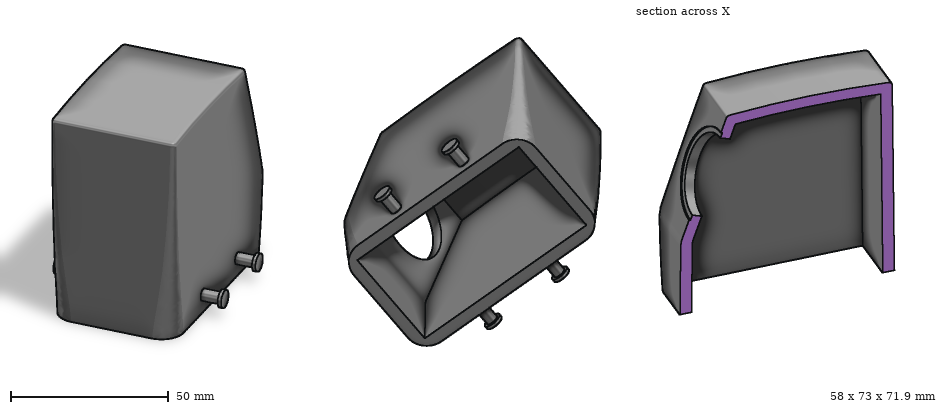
import cadquery as cq
import math

shapes = cq.occ_impl.shapes

body_width = 43.0
base_length = 73.0
height = 71.91
draft = math.radians(0.6)
slope_angle = math.radians(19.75)
bend_height = 27.0
bend_radius = 9.0
crown_radius = 350.0
crest_y = -7.0
wall = 4.1

base_corner_radius = 7.6
top_corner_radius = 1.55
end_wall_taper = 2.0
cable_side_taper = 2.6
top_radius = 1.5
convergence_steps = 20
law_steps = 4

entry_diameter = 28.2
seat_diameter = 32.0
seat_depth = 0.5
entry_y = 28.0

pin_span = 58.0
pin_spacing = 27.0
pin_height = 6.25
pin_diameter = 4.0
head_diameter = 6.0
head_thickness = 1.2

half_width = body_width / 2
half_base = base_length / 2


def crown_z(y):
    """Height of the crowned top at the given Y."""
    return height - crown_radius + math.sqrt(crown_radius**2 - (y - crest_y) ** 2)


def cable_face_y(z):
    """Y of the sloping cable face at the given height."""
    return bend_y - (z - bend_height) * math.tan(slope_angle)


def end_wall_y(z):
    """Y of the -Y end wall at the given height."""
    return -half_base + z * math.tan(draft)


def back_wall_y(z):
    """Y of the upright +Y wall at the given height."""
    return half_base - z * math.tan(draft)


bend_y = back_wall_y(bend_height)


def meet_crown(line_y):
    """Point where a leaning wall reaches the crowned top."""
    z = height
    for _ in range(convergence_steps):
        z = crown_z(line_y(z))
    return (line_y(z), z)


def side_profile(bottom=0.0):
    """Outline of the hood in the YZ plane down to the given Z, with a rounded bend in the +Y wall."""
    tangent_length = bend_radius * math.tan((slope_angle - draft) / 2)
    bend_start = (
        bend_y + tangent_length * math.sin(draft),
        bend_height - tangent_length * math.cos(draft),
    )
    bend_end = (
        bend_y - tangent_length * math.sin(slope_angle),
        bend_height + tangent_length * math.cos(slope_angle),
    )
    return (
        cq.Workplane("YZ", origin=(-half_width, 0, 0))
        .moveTo(end_wall_y(bottom), bottom)
        .lineTo(back_wall_y(bottom), bottom)
        .lineTo(*bend_start)
        .tangentArcPoint(bend_end, relative=False)
        .lineTo(*meet_crown(cable_face_y))
        .threePointArc((crest_y, height), meet_crown(end_wall_y))
        .close()
    )


def corner_radius(z, taper):
    """Corner radius, falling from the base to the top."""
    growth = base_corner_radius - top_corner_radius
    return top_corner_radius + growth * (1 - z / height) ** taper


def set_tapered_radius(maker, edge, taper):
    """Give one edge of the fillet maker a radius that tapers with height."""
    radii = shapes.TColgp_HArray1OfPnt2d(1, law_steps + 1)
    for step in range(law_steps + 1):
        along = step / law_steps
        radius = corner_radius(edge.positionAt(along).z, taper)
        radii.SetValue(step + 1, shapes.gp_Pnt2d(along, radius))
    maker.Add(edge.wrapped)
    contour = maker.Contour(edge.wrapped)
    for index in range(1, maker.NbEdges(contour) + 1):
        if maker.Edge(contour, index).IsSame(edge.wrapped):
            maker.SetRadius(radii.Array1(), contour, index)


def round_corners(block):
    """Round the four corners of the hood, wide at the base and tight at the top."""
    maker = shapes.BRepFilletAPI_MakeFillet(block.val().wrapped)
    side_edges = block.faces("<X or >X").edges()
    for edge in side_edges.edges("not (<Z or >Z)").vals():
        taper = end_wall_taper if edge.Center().y < 0 else cable_side_taper
        set_tapered_radius(maker, edge, taper)
    return cq.Workplane(cq.Shape.cast(maker.Shape()))


def outer_body():
    """Solid hood with its corners and top edges rounded."""
    rounded = round_corners(side_profile().extrude(body_width))
    return rounded.faces(">Z").edges().fillet(top_radius)


def cavity():
    """Plain hollow one wall inside the outline, reaching below the base so the bottom is open."""
    inner = side_profile(-2 * wall).offset2D(-wall).extrude(body_width - 2 * wall)
    return inner.translate((wall, 0, 0))


def cable_entry():
    """Shallow seat and through hole, square to the cable face."""
    entry_z = bend_height + (bend_y - entry_y) / math.tan(slope_angle)
    face_plane = cq.Plane(
        origin=(0, entry_y, entry_z),
        xDir=(1, 0, 0),
        normal=(0, math.cos(slope_angle), math.sin(slope_angle)),
    )
    seat = cq.Workplane(face_plane).circle(seat_diameter / 2).extrude(-seat_depth)
    return seat.circle(entry_diameter / 2).extrude(-2 * wall)


def locking_pin(side, y):
    """Headed pin on the -X (side = -1) or +X (side = 1) wall."""
    root = half_width - wall / 2
    tip = pin_span / 2
    stem = cq.Workplane("YZ", origin=(side * root, y, pin_height)).circle(pin_diameter / 2)
    head = cq.Workplane("YZ", origin=(side * tip, y, pin_height)).circle(head_diameter / 2)
    return stem.extrude(side * (tip - root)).union(head.extrude(-side * head_thickness))


result = outer_body().cut(cavity()).cut(cable_entry())
for pin_side in (-1, 1):
    for pin_y in (-pin_spacing / 2, pin_spacing / 2):
        result = result.union(locking_pin(pin_side, pin_y))